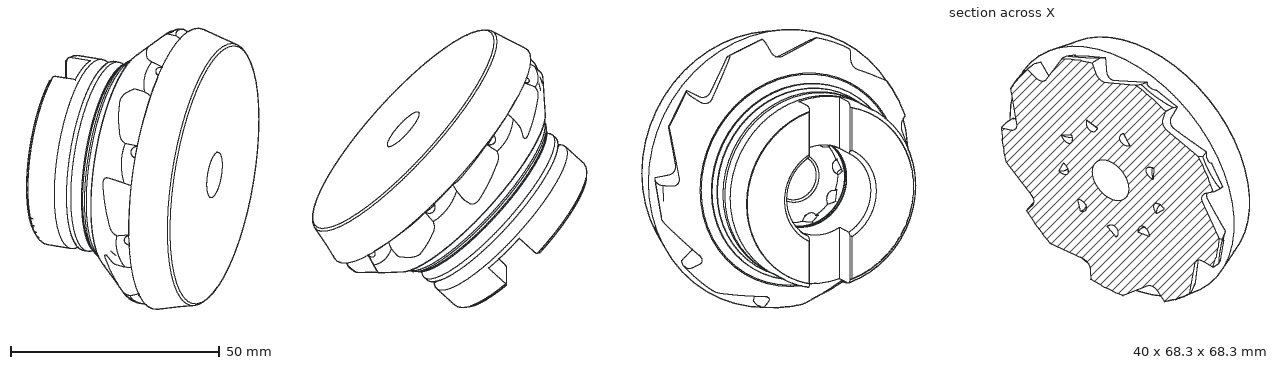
import cadquery as cq
import math

TOTAL_LENGTH = 40.03
MAX_RADIUS = 68.29 / 2

SPIGOT_RADIUS = 46 / 2
SPIGOT_ROUNDING = 1.1
END_STEP_LENGTH = 0.4
GROOVE_DEPTH = 1.1
FIRST_GROOVE = (7.5, 10.6)
SECOND_GROOVE = (11.7, 14.5)
STEP_RADIUS = 23.2
STEP_END = 14.8
COLLAR_START = 15.6
COLLAR_LAND_END = 16.05
COLLAR_RADIUS = 24.1
NECK_ARC_DEPTH = 1.15
NECK_END_RADIUS = 25.9

CONE_START = 17.95
CONE_START_RADIUS = 26.2
CONE_ANGLE = 42.5
TOOTH_RADIUS = 33.3
TOOTH_ROUNDING = 2.1

FLANGE_START = 30.5
FLANGE_UNDERCUT = 18.0
FLANGE_TAPER = 14.5
FLANGE_CHAMFER = 0.5

FLUTE_COUNT = 9
FLUTE_FIRST_ANGLE = -5.1
FLUTE_ANCHOR_X = 22.2
FLUTE_ANCHOR_RADIUS = 29.9
FLUTE_RADIAL_SLOPE = -0.28
FLUTE_SIDE_SLOPE = 0.263
FLUTE_FLOOR_ANGLE = 15.5
FLUTE_CORNER_RADIUS = 2.0
FLUTE_SIZE = 16.0

RELIEF_ANGLE_FROM_FLUTE = -7.4
RELIEF_X = 27.6
RELIEF_AXIAL = 0.44
RELIEF_SIDE = 0.14
RELIEF_WIDTH = 20.0
RELIEF_LENGTH = 16.0
RELIEF_HEIGHT = 6.0

NOTCH_DIAMETER = 3.0
NOTCH_X = 30.2
NOTCH_ANGLE_FROM_FLUTE = -17.4
NOTCH_INNER_RADIUS = 27.0

BORE_RADIUS = 22 / 2
BORE_CHAMFER = 1.0
BORE_DEPTH = 20.0
BORE_ENTRY_RADIUS = 22.15 / 2
BORE_ENTRY_END = 7.8
BORE_ENTRY_TAPER_LENGTH = 0.4
BORE_RELIEF_RADIUS = 22.3 / 2
BORE_RELIEF_START = 15.2
BORE_RELIEF_END = 16.2
THROUGH_RADIUS = 11 / 2
THROUGH_CHAMFER = 0.5
SLOT_WIDTH = 10.6
SLOT_DEPTH = 6.45
END_CHAMFER = 0.4
COOLANT_DIAMETER = 3.3
COOLANT_SIDE_OFFSET = 0.55
COOLANT_HEIGHT = 11.5
COOLANT_TILT = 41.0
COOLANT_SWING = 35.0
COOLANT_DEPTH = 8.0
COOLANT_OVERRUN = 2.0


def turned(profile):
    return profile.close().revolve(360, (0, 0, 0), (1, 0, 0))


def around(solid, angle):
    return solid.rotate((0, 0, 0), (1, 0, 0), angle)


def groove(profile, start, end, start_radius, end_radius, depth):
    middle = ((start + end) / 2, (start_radius + end_radius) / 2 - depth)
    return profile.lineTo(start, start_radius).threePointArc(middle, (end, end_radius))


def make_body():
    """Spigot, collar and toothed cone before the flutes are cut."""
    cone_turn = math.radians(CONE_ANGLE)
    half_turn = cone_turn / 2
    cone_end = CONE_START + (TOOTH_RADIUS - CONE_START_RADIUS) / math.tan(cone_turn)
    setback = TOOTH_ROUNDING * math.tan(half_turn)
    round_start_x = cone_end - setback * math.cos(cone_turn)
    round_start_r = TOOTH_RADIUS - setback * math.sin(cone_turn)
    round_end_x = cone_end + setback
    round_mid = (
        round_end_x - TOOTH_ROUNDING * math.sin(half_turn),
        TOOTH_RADIUS - TOOTH_ROUNDING * (1 - math.cos(half_turn)),
    )
    corner = SPIGOT_ROUNDING * (1 - math.sqrt(0.5))

    end_radius = SPIGOT_RADIUS - SPIGOT_ROUNDING
    profile = cq.Workplane("XY").lineTo(0, end_radius).lineTo(END_STEP_LENGTH, end_radius)
    profile = profile.threePointArc(
        (END_STEP_LENGTH + corner, SPIGOT_RADIUS - corner),
        (END_STEP_LENGTH + SPIGOT_ROUNDING, SPIGOT_RADIUS),
    )
    profile = groove(profile, *FIRST_GROOVE, SPIGOT_RADIUS, SPIGOT_RADIUS, GROOVE_DEPTH)
    profile = groove(profile, *SECOND_GROOVE, SPIGOT_RADIUS, STEP_RADIUS, GROOVE_DEPTH)
    profile = profile.lineTo(STEP_END, STEP_RADIUS).lineTo(COLLAR_START, COLLAR_RADIUS)
    neck_offset = NECK_ARC_DEPTH * math.sqrt(0.5)
    neck_bottom = (
        (COLLAR_LAND_END + CONE_START) / 2 + neck_offset,
        (COLLAR_RADIUS + NECK_END_RADIUS) / 2 - neck_offset,
    )
    profile = profile.lineTo(COLLAR_LAND_END, COLLAR_RADIUS)
    profile = profile.threePointArc(neck_bottom, (CONE_START, NECK_END_RADIUS))
    profile = profile.lineTo(CONE_START, CONE_START_RADIUS)
    profile = profile.lineTo(round_start_x, round_start_r)
    profile = profile.threePointArc(round_mid, (round_end_x, TOOTH_RADIUS))
    profile = profile.lineTo(FLANGE_START, TOOTH_RADIUS).lineTo(FLANGE_START, 0)
    return turned(profile)


def make_flange():
    """Tapered rim whose tooth-side face is undercut towards the axis."""
    apex_x = FLANGE_START - MAX_RADIUS * math.tan(math.radians(FLANGE_UNDERCUT))
    chamfer_x = TOTAL_LENGTH - FLANGE_CHAMFER
    chamfer_r = MAX_RADIUS - (chamfer_x - FLANGE_START) * math.tan(math.radians(FLANGE_TAPER))
    profile = cq.Workplane("XY").moveTo(apex_x, 0).lineTo(FLANGE_START, MAX_RADIUS)
    profile = profile.lineTo(chamfer_x, chamfer_r)
    profile = profile.lineTo(TOTAL_LENGTH, chamfer_r - FLANGE_CHAMFER).lineTo(TOTAL_LENGTH, 0)
    return turned(profile)


def make_flute():
    """Prism with a rounded corner, anchored on the +Z side where its floor meets the corner."""
    floor_angle = math.radians(FLUTE_FLOOR_ANGLE)
    axis = cq.Vector(1, -FLUTE_SIDE_SLOPE, FLUTE_RADIAL_SLOPE)
    floor_direction = cq.Vector(0, -math.cos(floor_angle), math.sin(floor_angle))
    frame = cq.Plane((FLUTE_ANCHOR_X, 0, FLUTE_ANCHOR_RADIUS), floor_direction, axis)
    r = FLUTE_CORNER_RADIUS
    section = (
        cq.Workplane(frame)
        .lineTo(FLUTE_SIZE, 0)
        .lineTo(FLUTE_SIZE, -FLUTE_SIZE)
        .lineTo(-r, -FLUTE_SIZE)
        .lineTo(-r, -r)
        .threePointArc((-r * math.sqrt(0.5), -r * (1 - math.sqrt(0.5))), (0, 0))
        .close()
    )
    return section.extrude(FLUTE_SIZE, both=True)


def make_relief():
    """Block whose bottom face leans back behind a tooth edge, on the +Z side."""
    normal = cq.Vector(RELIEF_AXIAL, RELIEF_SIDE, 1)
    frame = cq.Plane((RELIEF_X, 0, TOOTH_RADIUS), (1, 0, -RELIEF_AXIAL), normal)
    return cq.Workplane(frame).rect(RELIEF_LENGTH, RELIEF_WIDTH).extrude(RELIEF_HEIGHT)


def make_notch():
    """Radial drilling into the back of a tooth, on the +Z side; the flange later fills its far half."""
    frame = cq.Workplane("XY", origin=(NOTCH_X, 0, NOTCH_INNER_RADIUS))
    return frame.circle(NOTCH_DIAMETER / 2).extrude(MAX_RADIUS - NOTCH_INNER_RADIUS)


def make_coolant_hole():
    """Skewed blind drilling where the bore floor meets its wall, on the +Z side."""
    tilt = math.radians(COOLANT_TILT)
    swing = math.radians(COOLANT_SWING)
    direction = cq.Vector(
        math.cos(tilt),
        -math.sin(tilt) * math.cos(swing),
        math.sin(tilt) * math.sin(swing),
    )
    inlet = cq.Vector(BORE_DEPTH, -COOLANT_SIDE_OFFSET, COOLANT_HEIGHT)
    start = inlet - direction * COOLANT_OVERRUN
    length = COOLANT_DEPTH + COOLANT_OVERRUN
    return cq.Workplane(cq.Solid.makeCylinder(COOLANT_DIAMETER / 2, length, start, direction))


def make_bores():
    profile = (
        cq.Workplane("XY")
        .lineTo(0, BORE_ENTRY_RADIUS + BORE_CHAMFER)
        .lineTo(BORE_CHAMFER, BORE_ENTRY_RADIUS)
        .lineTo(BORE_ENTRY_END, BORE_ENTRY_RADIUS)
        .lineTo(BORE_ENTRY_END + BORE_ENTRY_TAPER_LENGTH, BORE_RADIUS)
        .lineTo(BORE_RELIEF_START, BORE_RADIUS)
        .lineTo(BORE_RELIEF_START, BORE_RELIEF_RADIUS)
        .lineTo(BORE_RELIEF_END, BORE_RELIEF_RADIUS)
        .lineTo(BORE_RELIEF_END, BORE_RADIUS)
        .lineTo(BORE_DEPTH, BORE_RADIUS)
        .lineTo(BORE_DEPTH, THROUGH_RADIUS + THROUGH_CHAMFER)
        .lineTo(BORE_DEPTH + THROUGH_CHAMFER, THROUGH_RADIUS)
        .lineTo(TOTAL_LENGTH, THROUGH_RADIUS)
        .lineTo(TOTAL_LENGTH, 0)
    )
    return turned(profile)


def make_slot():
    """Drive slot across the end face, running along Z, with chamfered mouth edges."""
    half = SLOT_WIDTH / 2
    profile = (
        cq.Workplane("XY")
        .moveTo(0, -half - END_CHAMFER)
        .lineTo(END_CHAMFER, -half)
        .lineTo(SLOT_DEPTH, -half)
        .lineTo(SLOT_DEPTH, half)
        .lineTo(END_CHAMFER, half)
        .lineTo(0, half + END_CHAMFER)
        .close()
    )
    return profile.extrude(SPIGOT_RADIUS, both=True)


body = make_body()
flute = make_flute()
relief = make_relief()
notch = make_notch()
coolant_hole = make_coolant_hole()
pitch = 360 / FLUTE_COUNT
for index in range(FLUTE_COUNT):
    flute_angle = FLUTE_FIRST_ANGLE + index * pitch
    body = body.cut(around(flute, flute_angle))
    body = body.cut(around(relief, flute_angle + RELIEF_ANGLE_FROM_FLUTE))
    body = body.cut(around(notch, flute_angle + NOTCH_ANGLE_FROM_FLUTE))

body = body.union(make_flange()).cut(make_bores()).cut(make_slot())
for index in range(FLUTE_COUNT):
    body = body.cut(around(coolant_hole, index * pitch))

result = body